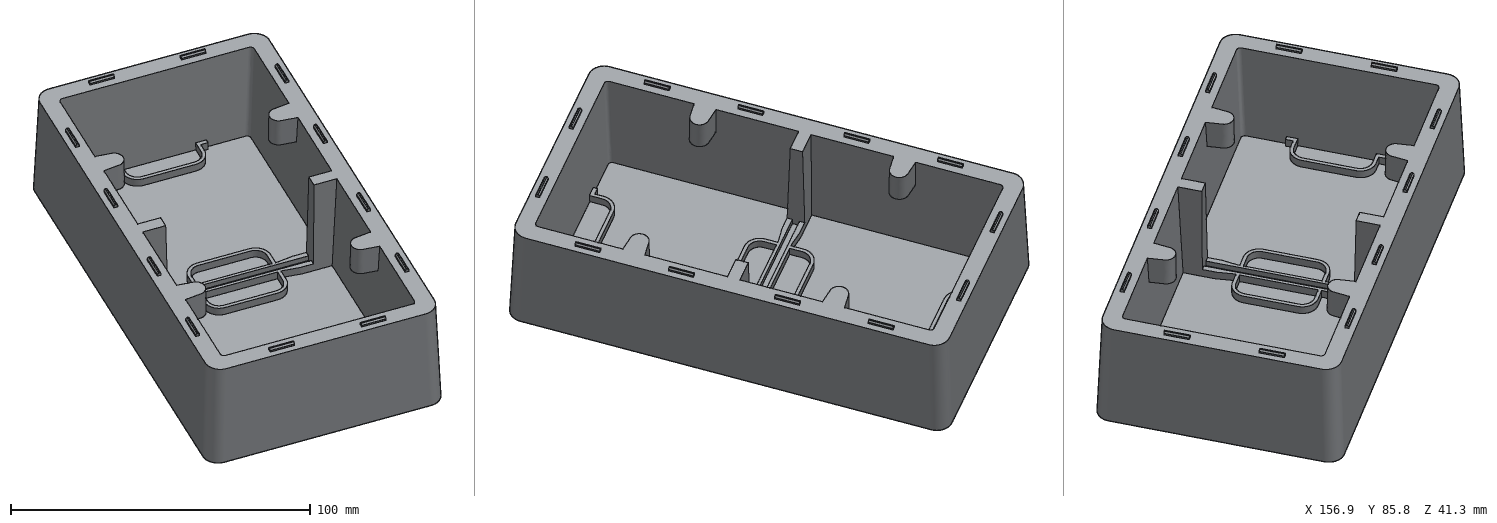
import cadquery as cq

LENGTH = 156.9
WIDTH = 85.8
BODY_HEIGHT = 40.0
OUTER_DRAFT = 2.0
CORNER_RADIUS = 5.5

FLOOR = 3.0
RIM_X = 70.8
RIM_Y = 35.1
WALL_LEAN = 2.12
DIVIDER_TOP_HALF = 2.2
DIVIDER_LEAN = 1.02
POCKET_CORNER_RADIUS = 1.4
POCKET_CENTRE_X = 35.5

STUB_Y = 26.8
STUB_LEAN = 0.5
LOW_WALL_HEIGHT = 3.0
LOW_WALL_HALF = 2.4
WAIST_Y = 15.7
FLARE_Y = 22.0
GROOVE_WIDTH = 2.5
GROOVE_DEPTH = 2.0

BOSS_HEIGHT = 10.5
BOSS_TIP_Y = 26.5
BOSS_DRAFT = 1.0
BOSS_RADIUS = 3.3
BOSS_ROOT_HALF = 4.1

GUARD_HEIGHT = 3.0
GUARD_WALL = 1.3
GUARD_HALF_Y = 14.9
GUARD_RADIUS = 5.5
DIVIDER_GUARD_HALF_X = 12.2
END_GUARD_X = 58.7
FOOT_X = 67.3
FOOT_HALF_Y = 17.5

RIDGE_HEIGHT = 1.3
RIDGE_LENGTH = 8.8
RIDGE_WIDTH = 1.4
RIDGE_CREST = 0.5
RIDGE_SHOULDER = 0.6
RIDGE_SIDE_Y = 38.6
RIDGE_END_X = 74.2
SIDE_RIDGE_NEAR = 15.0
SIDE_RIDGE_FAR = 18.2
END_RIDGE_NEAR = 14.9
END_RIDGE_FAR = 18.2

SINK = 1.3
EMBEDDED_X = RIM_X + SINK

SIDES = (-1, 1)
POCKET_CENTRES = (-POCKET_CENTRE_X, POCKET_CENTRE_X)


def body():
    block = cq.Workplane("XY").rect(LENGTH, WIDTH).extrude(BODY_HEIGHT, taper=OUTER_DRAFT)
    uprights = block.edges("not(#Z or |X or |Y)")
    return uprights.fillet(CORNER_RADIUS)


def compartment(side):
    """Drafted pocket on the side of the divider given by the sign."""
    floor_inner = DIVIDER_TOP_HALF + DIVIDER_LEAN
    floor_outer = RIM_X - WALL_LEAN
    pocket = (
        cq.Workplane("XY", origin=(0, 0, FLOOR))
        .center(side * (floor_inner + floor_outer) / 2, 0)
        .rect(floor_outer - floor_inner, 2 * (RIM_Y - WALL_LEAN))
        .workplane(offset=BODY_HEIGHT - FLOOR)
        .center(side * (DIVIDER_TOP_HALF + RIM_X - floor_inner - floor_outer) / 2, 0)
        .rect(RIM_X - DIVIDER_TOP_HALF, 2 * RIM_Y)
        .loft()
    )
    outer_half = cq.selectors.BoxSelector(
        (side * POCKET_CENTRE_X, -WIDTH, 0),
        (side * LENGTH, WIDTH, BODY_HEIGHT),
    )
    outer_uprights = pocket.edges("not(#Z or |X or |Y)").edges(outer_half)
    return outer_uprights.fillet(POCKET_CORNER_RADIUS)


def divider_cut():
    """Opening that leaves a full-height stub at each end of the divider."""
    floor_half = DIVIDER_TOP_HALF + DIVIDER_LEAN
    low_top = FLOOR + LOW_WALL_HEIGHT
    opening = (
        cq.Workplane("YZ", origin=(-floor_half, 0, 0))
        .polyline([
            (-STUB_Y, BODY_HEIGHT),
            (STUB_Y, BODY_HEIGHT),
            (STUB_Y - STUB_LEAN, low_top),
            (STUB_LEAN - STUB_Y, low_top),
        ])
        .close()
        .extrude(2 * floor_half)
    )
    for side in SIDES:
        waist = (
            cq.Workplane("XY", origin=(0, 0, FLOOR))
            .polyline([
                (side * floor_half, -FLARE_Y),
                (side * LOW_WALL_HALF, -WAIST_Y),
                (side * LOW_WALL_HALF, WAIST_Y),
                (side * floor_half, FLARE_Y),
            ])
            .close()
            .extrude(LOW_WALL_HEIGHT)
        )
        opening = opening.union(waist)
    return opening


def groove():
    bottom = FLOOR + LOW_WALL_HEIGHT - GROOVE_DEPTH
    return (
        cq.Workplane("XY", origin=(0, 0, bottom))
        .rect(GROOVE_WIDTH, 2 * (STUB_Y - STUB_LEAN))
        .extrude(GROOVE_DEPTH)
    )


def boss(x, side):
    """Round-nosed boss that widens towards the wall and towards its lower end."""
    nose_y = BOSS_TIP_Y + BOSS_RADIUS
    root_y = RIM_Y + SINK
    return (
        cq.Workplane("XY", origin=(x, 0, BODY_HEIGHT))
        .moveTo(-BOSS_ROOT_HALF, side * root_y)
        .lineTo(-BOSS_RADIUS, side * nose_y)
        .threePointArc((0, side * BOSS_TIP_Y), (BOSS_RADIUS, side * nose_y))
        .lineTo(BOSS_ROOT_HALF, side * root_y)
        .close()
        .extrude(-BOSS_HEIGHT, taper=-BOSS_DRAFT)
    )


def guard(x_from, x_to, rounded):
    """Thin upright wall around a rectangle whose chosen corners are rounded."""
    def block(inset):
        return (
            cq.Workplane("XY", origin=((x_from + x_to) / 2, 0, FLOOR - SINK))
            .rect(x_to - x_from - 2 * inset, 2 * (GUARD_HALF_Y - inset))
            .extrude(GUARD_HEIGHT + SINK)
            .edges("|Z")
            .edges(rounded)
            .fillet(GUARD_RADIUS - inset)
        )
    return block(0).cut(block(GUARD_WALL))


def foot(x_side, y_side):
    """Short return of an end guard along the end wall."""
    inner_y = GUARD_HALF_Y - GUARD_WALL
    return (
        cq.Workplane("XY", origin=(0, 0, FLOOR - SINK))
        .center(x_side * (FOOT_X + EMBEDDED_X) / 2, y_side * (inner_y + FOOT_HALF_Y) / 2)
        .rect(EMBEDDED_X - FOOT_X, FOOT_HALF_Y - inner_y)
        .extrude(GUARD_HEIGHT + SINK)
    )


def ridge():
    """Ridge along X, centred on the origin, with its foot on the XY plane."""
    half = RIDGE_WIDTH / 2
    crest = RIDGE_CREST / 2
    return (
        cq.Workplane("YZ", origin=(-RIDGE_LENGTH / 2, 0, 0))
        .polyline([
            (-half, -SINK),
            (-half, RIDGE_SHOULDER),
            (-crest, RIDGE_HEIGHT),
            (crest, RIDGE_HEIGHT),
            (half, RIDGE_SHOULDER),
            (half, -SINK),
        ])
        .close()
        .extrude(RIDGE_LENGTH)
    )


result = body()
for side in SIDES:
    result = result.cut(compartment(side))
result = result.cut(divider_cut())

for side in SIDES:
    for centre_x in POCKET_CENTRES:
        result = result.union(boss(centre_x, side))

result = result.union(guard(-DIVIDER_GUARD_HALF_X, DIVIDER_GUARD_HALF_X, "|Z"))
result = result.cut(groove())

result = result.union(guard(END_GUARD_X, EMBEDDED_X, "<X"))
result = result.union(guard(-EMBEDDED_X, -END_GUARD_X, ">X"))
for x_side in SIDES:
    for y_side in SIDES:
        result = result.union(foot(x_side, y_side))

end_ridge = ridge().rotate((0, 0, 0), (0, 0, 1), 90)
for side in SIDES:
    for centre_x in POCKET_CENTRES:
        for shift in (SIDE_RIDGE_NEAR, -SIDE_RIDGE_FAR):
            place = (centre_x + side * shift, side * RIDGE_SIDE_Y, BODY_HEIGHT)
            result = result.union(ridge().translate(place))
    for shift in (END_RIDGE_FAR, -END_RIDGE_NEAR):
        place = (side * RIDGE_END_X, side * shift, BODY_HEIGHT)
        result = result.union(end_ridge.translate(place))